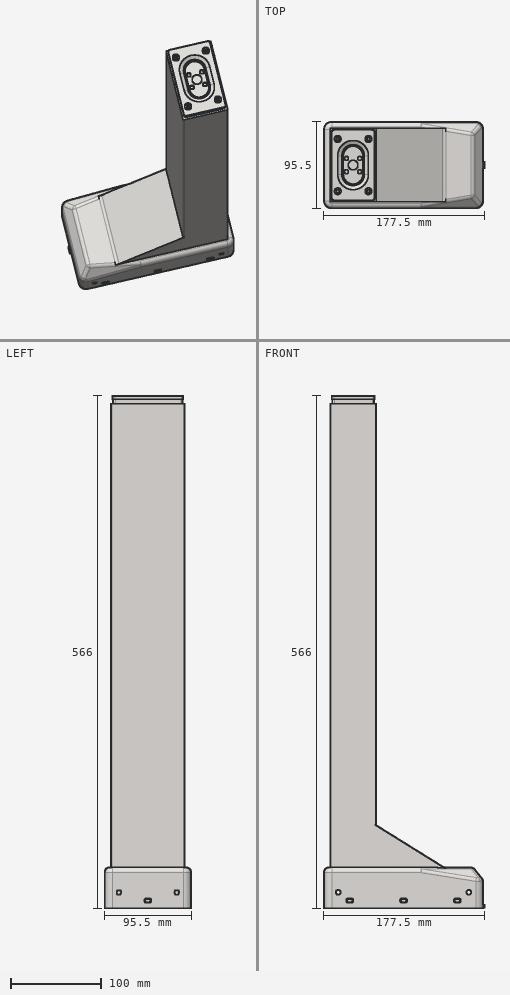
import cadquery as cq
import math

BASE_LENGTH = 176.0
BASE_WIDTH = 95.5
BASE_HEIGHT = 45.0
BASE_CORNER_RADIUS = 8.5
BASE_TOP_RADIUS = 5.5

FACET_START = 87.0
FACET_DROP = 14.0
FACET_END_INSET = 11.5
FACET_SIDE_INSET = 13.0

TOTAL_HEIGHT = 566.0
COLUMN_BACK = 7.0
COLUMN_DEPTH = 51.0
COLUMN_WIDTH = 81.5
COLUMN_EDGE_RADIUS = 1.0
COLUMN_FOOT = 22.5
GUSSET_TOP = 91.5
GUSSET_TOE = 132.5
GUSSET_TOE_RADIUS = 7.0

PLATE_THICKNESS = 3.5
PLATE_INSET = 1.5
PLATE_CORNER_RADIUS = 2.0
NECK_HEIGHT = 5.0
NECK_INSET = 2.0

SCREW_SPACING_X = 34.0
SCREW_SPACING_Y = 58.0
SCREW_DIAMETER = 3.5
SCREW_HEAD_DIAMETER = 7.5
SCREW_HEAD_DEPTH = 2.0
SCREW_DEPTH = 7.0

RECESS_LENGTH = 54.5
RECESS_WIDTH = 34.0
RIM_WIDTH = 4.5
RIM_DEPTH = 2.0
LEDGE_WIDTH = 1.5
LEDGE_DEPTH = 3.5
RECESS_DEPTH = 4.5
CONTACT_SPACING = 14.5
CONTACT_DIAMETER = 4.5
CONTACT_DEPTH = 3.0
CENTRE_DIAMETER = 11.0
CENTRE_DEPTH = 0.5

HOLE_DIAMETER = 5.0
HOLE_EDGE_DISTANCE = 16.0
HOLE_HEIGHT = 17.5
SLOT_LENGTH = 8.0
SLOT_HEIGHT = 5.0
SLOT_RECESS = 1.5
SLOT_STEP = 0.85
SLOT_DEPTH = 4.5
SLOT_LEVEL = 8.5
SLOT_SPACING = 59.5
TAB_LENGTH = 1.5
TAB_WIDTH = 7.5
TAB_BOTTOM = 0.5
TAB_HEIGHT = 3.5

COLUMN_TOP = TOTAL_HEIGHT - PLATE_THICKNESS - NECK_HEIGHT
COLUMN_FRONT = COLUMN_BACK + COLUMN_DEPTH
COLUMN_CENTRE = COLUMN_BACK + COLUMN_DEPTH / 2
HOLE_OFFSET_X = BASE_LENGTH / 2 - HOLE_EDGE_DISTANCE
HOLE_OFFSET_Y = BASE_WIDTH / 2 - HOLE_EDGE_DISTANCE
BASE_CENTRE = BASE_LENGTH / 2


def space_above(start, second, third):
    """Large block on the upper side of the plane through three points."""
    along = second - start
    normal = along.cross(third - start)
    if normal.z < 0:
        normal = -normal
    plane = cq.Plane(origin=start.toTuple(), xDir=along.toTuple(), normal=normal.toTuple())
    size = 4 * BASE_LENGTH
    return cq.Workplane(plane).box(size, size, size, centered=(True, True, False))


def make_base():
    """Box with two tapering side facets and one end facet, all upper edges rounded."""
    base = cq.Workplane("XY").box(
        BASE_LENGTH, BASE_WIDTH, BASE_HEIGHT, centered=(False, True, False)
    )
    low_z = BASE_HEIGHT - FACET_DROP
    ridge_end = BASE_LENGTH - FACET_END_INSET
    for side in (-1, 1):
        wall_y = side * BASE_WIDTH / 2
        ridge_y = wall_y - side * FACET_SIDE_INSET
        start = cq.Vector(FACET_START, wall_y, BASE_HEIGHT)
        corner = cq.Vector(BASE_LENGTH, wall_y, low_z)
        ridge = cq.Vector(ridge_end, ridge_y, BASE_HEIGHT)
        base = base.cut(space_above(start, corner, ridge))
    base = base.cut(
        space_above(
            cq.Vector(BASE_LENGTH, 0, low_z),
            cq.Vector(BASE_LENGTH, BASE_WIDTH, low_z),
            cq.Vector(ridge_end, 0, BASE_HEIGHT),
        )
    )
    base = base.edges("|Z").fillet(BASE_CORNER_RADIUS)
    floor_and_walls = base.faces("<Z").edges().vals() + base.edges("|Z").vals()
    kept = {edge.hashCode() for edge in floor_and_walls}
    upper = [edge for edge in base.edges().vals() if edge.hashCode() not in kept]
    return base.newObject(upper).fillet(BASE_TOP_RADIUS)


def make_column():
    """Column and gusset in one outline; the gusset slope curves into the flat top of the base."""
    slope = math.atan2(GUSSET_TOP - BASE_HEIGHT, GUSSET_TOE - COLUMN_FRONT)
    tangent = GUSSET_TOE_RADIUS * math.tan(slope / 2)
    toe_end_x = GUSSET_TOE + tangent
    toe_centre_z = BASE_HEIGHT + GUSSET_TOE_RADIUS
    toe_middle = (
        toe_end_x - GUSSET_TOE_RADIUS * math.sin(slope / 2),
        toe_centre_z - GUSSET_TOE_RADIUS * math.cos(slope / 2),
    )
    toe_start = (
        toe_end_x - GUSSET_TOE_RADIUS * math.sin(slope),
        toe_centre_z - GUSSET_TOE_RADIUS * math.cos(slope),
    )
    column = (
        cq.Workplane("XZ")
        .moveTo(COLUMN_BACK, COLUMN_FOOT)
        .lineTo(toe_end_x, COLUMN_FOOT)
        .lineTo(toe_end_x, BASE_HEIGHT)
        .threePointArc(toe_middle, toe_start)
        .lineTo(COLUMN_FRONT, GUSSET_TOP)
        .lineTo(COLUMN_FRONT, COLUMN_TOP)
        .lineTo(COLUMN_BACK, COLUMN_TOP)
        .close()
        .extrude(COLUMN_WIDTH / 2, both=True)
    )
    rounded = cq.selectors.BoxSelector(
        (0, -COLUMN_WIDTH, COLUMN_FOOT),
        ((COLUMN_FRONT + GUSSET_TOE) / 2, COLUMN_WIDTH, TOTAL_HEIGHT),
    )
    return column.edges("|Z").edges(rounded).fillet(COLUMN_EDGE_RADIUS)


def column_layer(inset, bottom, height):
    """Rounded rectangular layer inset from the column outline."""
    return (
        cq.Workplane("XY", origin=(COLUMN_CENTRE, 0, bottom))
        .rect(COLUMN_DEPTH - 2 * inset, COLUMN_WIDTH - 2 * inset)
        .extrude(height)
        .edges("|Z")
        .fillet(PLATE_CORNER_RADIUS)
    )


def make_cap():
    neck = column_layer(NECK_INSET, COLUMN_TOP, NECK_HEIGHT)
    plate = column_layer(PLATE_INSET, COLUMN_TOP + NECK_HEIGHT, PLATE_THICKNESS)
    return neck.union(plate)


def top_plane(depth=0.0):
    """Workplane at the middle of the cap, a given depth below its top face."""
    return cq.Workplane("XY", origin=(COLUMN_CENTRE, 0, TOTAL_HEIGHT - depth))


def make_screw_holes():
    places = top_plane().rect(SCREW_SPACING_X, SCREW_SPACING_Y, forConstruction=True).vertices()
    heads = places.circle(SCREW_HEAD_DIAMETER / 2).extrude(-SCREW_HEAD_DEPTH)
    shanks = places.circle(SCREW_DIAMETER / 2).extrude(-SCREW_DEPTH)
    return heads.union(shanks)


def recess_slot(inset=0.0):
    """Outline of the recess along Y, drawn a given distance inside its rim."""
    return top_plane().slot2D(RECESS_LENGTH - 2 * inset, RECESS_WIDTH - 2 * inset, 90)


def make_recess():
    rim_taper = math.degrees(math.atan2(RIM_WIDTH, RIM_DEPTH))
    rim = recess_slot().extrude(-RIM_DEPTH, taper=rim_taper)
    opening = recess_slot(RIM_WIDTH).extrude(-LEDGE_DEPTH)
    well = recess_slot(RIM_WIDTH + LEDGE_WIDTH).extrude(-RECESS_DEPTH)
    contacts = (
        top_plane(RECESS_DEPTH)
        .rect(CONTACT_SPACING, CONTACT_SPACING, forConstruction=True)
        .vertices()
        .circle(CONTACT_DIAMETER / 2)
        .extrude(-CONTACT_DEPTH)
    )
    centre = top_plane(RECESS_DEPTH).circle(CENTRE_DIAMETER / 2).extrude(-CENTRE_DEPTH)
    return rim.union(opening).union(well).union(contacts).union(centre)


def make_cross_holes():
    """Two holes through the base width and two blind holes from the back that meet the rear one."""
    through = (
        cq.Workplane("XZ", origin=(BASE_CENTRE, 0, HOLE_HEIGHT))
        .pushPoints([(-HOLE_OFFSET_X, 0), (HOLE_OFFSET_X, 0)])
        .circle(HOLE_DIAMETER / 2)
        .extrude(BASE_WIDTH, both=True)
    )
    back = (
        cq.Workplane("YZ", origin=(0, 0, HOLE_HEIGHT))
        .pushPoints([(-HOLE_OFFSET_Y, 0), (HOLE_OFFSET_Y, 0)])
        .circle(HOLE_DIAMETER / 2)
        .extrude(HOLE_EDGE_DISTANCE)
    )
    return through.union(back)


def stepped_slots(wall, inward):
    """Two-step slots at the points of a wall workplane; inward is the sign of the cut direction."""
    recess = wall.slot2D(SLOT_LENGTH, SLOT_HEIGHT).extrude(inward * SLOT_RECESS)
    core = wall.slot2D(SLOT_LENGTH - 2 * SLOT_STEP, SLOT_HEIGHT - 2 * SLOT_STEP)
    return recess.union(core.extrude(inward * SLOT_DEPTH))


def make_slots():
    """Blind slots: three in each long wall and one in the back wall."""
    slots = stepped_slots(cq.Workplane("YZ", origin=(0, 0, SLOT_LEVEL)), 1)
    for side in (-1, 1):
        wall = cq.Workplane("XZ", origin=(BASE_CENTRE, side * BASE_WIDTH / 2, SLOT_LEVEL))
        slots = slots.union(stepped_slots(wall.rarray(SLOT_SPACING, 5.5, 3, 1), side))
    return slots


def make_tab():
    """Small tab at the foot of the front wall, rooted inside the base."""
    return cq.Workplane("XY", origin=(BASE_LENGTH, 0, TAB_BOTTOM)).box(
        2 * TAB_LENGTH, TAB_WIDTH, TAB_HEIGHT, centered=(True, True, False)
    )


body = make_base().union(make_column())
body = body.union(make_cap()).union(make_tab())
result = body.cut(make_screw_holes()).cut(make_recess()).cut(make_cross_holes()).cut(make_slots())